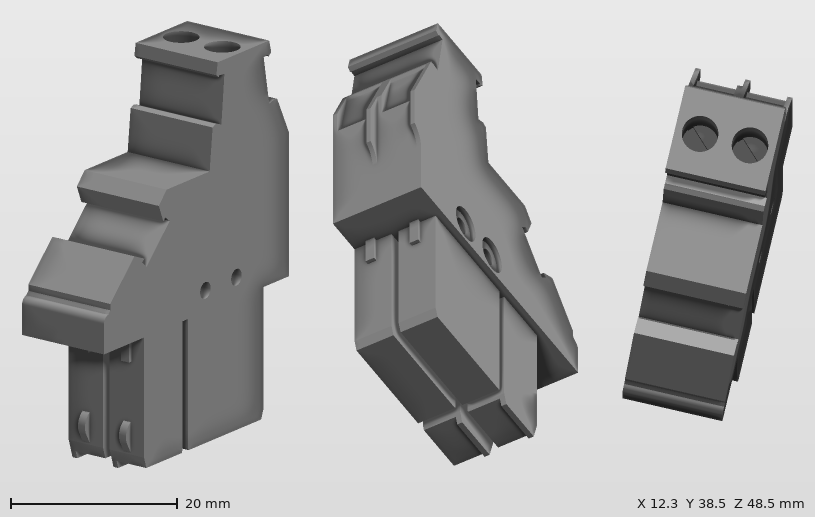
import cadquery as cq
import math


WIDTH = 12.3
LENGTH = 38.45
HEIGHT = 48.48
TOP_Z = 30.88
POLES = 2
PITCH = WIDTH / POLES

LOWER_BACK_Y = 36.95
BACK_PLATE_THICKNESS = 0.6
BACK_SLOPE_START_Z = 15.1
BACK_CREST_Y = 34.6
BACK_CREST_Z = 23.08
BACK_STEP_TOP_Z = 9.55
BACK_STEP_BOTTOM_Z = 7.0

POCKET_WIDTH = 4.95
POCKET_INNER_Y = 34.75
POCKET_BEND_Y = 36.25
POCKET_BEND_Z = 15.6
POCKET_WALL_ANGLE = 77
POCKET_FLOOR_ANGLE = 25

SCREW_DIAMETER = 4.4
SCREW_Y = 27.72
WELL_DEPTH = 6.0
SCREW_SLOT_WIDTH = 0.75
SCREW_SLOT_DEPTH = 0.6
SCREW_SLOT_ANGLE = -45

TEST_HOLE_DIAMETER = 2.1
RECESS_DIAMETER = 4.6
RECESS_DEPTH = 0.6
RECESS_PAD_DIAMETER = 4.1
RECESS_GROOVE_DEPTH = 0.2
TEST_HOLE_Z = 2.68
TEST_HOLE_YS = (20.25, 26.45)

BLADE_START_X = 1.0
BLADE_GAP = 1.0
BLADE_BOTTOM_Z = -16.63
TONGUE_BOTTOM_Z = TOP_Z - HEIGHT
TONGUE_THICKNESS = 0.7
REAR_BLADE_Y = (16.8, 31.85)
FRONT_BLADE_Y = (8.0, 15.7)
REAR_BLADE_FRONT_TAPER = (0.1, 0.2)
REAR_BLADE_BACK_TAPER = (0.45, 1.2)
FRONT_BLADE_FRONT_TAPER = (0.75, 2.4)
FRONT_BLADE_BACK_TAPER = (0.5, 1.4)

RIB_OFFSET_X = 3.1
RIB_WIDTH = 1.2
RIB_PROJECTION = 0.55
RIB_HEIGHT = 3.4
BUMP_WIDTH = 1.05
BUMP_PROJECTION = 0.95
BUMP_TOP_Z = -11.1
BUMP_NOSE_Z = -12.7
LEAD_IN_PROJECTION = 0.6
LEAD_IN_TOP_Z = -13.9
LEAD_IN_BOTTOM_Z = -15.0


def extrude_x(profile, start_x, width):
    """Extrude a closed Y-Z profile from start_x toward +X."""
    return profile.extrude(width).translate((start_x, 0, 0))


def box(x_range, y_range, z_range):
    """Box spanning the given coordinate ranges."""
    size = [high - low for low, high in (x_range, y_range, z_range)]
    return cq.Workplane("XY").box(*size, centered=False).translate((x_range[0], y_range[0], z_range[0]))


def housing_body():
    profile = (
        cq.Workplane("YZ")
        .moveTo(0, 0)
        .lineTo(LOWER_BACK_Y, 0)
        .lineTo(LOWER_BACK_Y, BACK_STEP_BOTTOM_Z)
        .threePointArc((37.4, 8.4), (LENGTH, BACK_STEP_TOP_Z))
        .lineTo(LENGTH, BACK_SLOPE_START_Z)
        .lineTo(BACK_CREST_Y, BACK_CREST_Z)
        .lineTo(34.05, 23.13)
        .lineTo(33.0, 22.9)
        .lineTo(31.9, 29.05)
        .lineTo(32.75, 29.15)
        .lineTo(32.9, 28.9)
        .lineTo(33.42, 29.3)
        .lineTo(33.0, TOP_Z)
        .lineTo(22.7, TOP_Z)
        .lineTo(22.45, 29.3)
        .lineTo(22.9, 28.9)
        .lineTo(23.05, 29.15)
        .lineTo(24.05, 29.05)
        .lineTo(23.45, 22.8)
        .lineTo(22.35, 23.2)
        .lineTo(21.7, 22.9)
        .lineTo(21.1, 17.5)
        .lineTo(12.5, 17.5)
        .lineTo(10.95, 15.85)
        .lineTo(11.85, 13.65)
        .lineTo(12.25, 14.05)
        .lineTo(13.12, 13.38)
        .lineTo(8.5, 8.8)
        .lineTo(7.6, 9.6)
        .lineTo(8.1, 9.95)
        .lineTo(6.05, 10.8)
        .lineTo(1.25, 6.05)
        .lineTo(1.25, 5.25)
        .lineTo(0.85, 4.8)
        .threePointArc((0.295, 4.515), (0, 3.8))
        .close()
    )
    return extrude_x(profile, 0, WIDTH)


def back_recess(pole_x):
    """Space beside the back plate of one pole, behind the lower back face."""
    start = pole_x + BACK_PLATE_THICKNESS
    return box((start, pole_x + PITCH), (LOWER_BACK_Y, LENGTH), (0, TOP_Z))


def wire_pocket(pole_x):
    """Wire-entry pocket with a steep inner wall and a sloping floor."""
    wall_rise = (POCKET_BEND_Y - POCKET_INNER_Y) * math.tan(math.radians(POCKET_WALL_ANGLE))
    floor_drop = (LENGTH - POCKET_BEND_Y) * math.tan(math.radians(POCKET_FLOOR_ANGLE))
    profile = cq.Workplane("YZ").polyline([
        (POCKET_INNER_Y, TOP_Z),
        (POCKET_INNER_Y, POCKET_BEND_Z + wall_rise),
        (POCKET_BEND_Y, POCKET_BEND_Z),
        (LENGTH, POCKET_BEND_Z - floor_drop),
        (LENGTH, TOP_Z),
    ]).close()
    return extrude_x(profile, pole_x + BACK_PLATE_THICKNESS, POCKET_WIDTH)


def screw_well(pole_x):
    """Round well above one clamping screw, with the screw slot in its floor."""
    centre = (pole_x + PITCH / 2, SCREW_Y, TOP_Z - WELL_DEPTH)
    radius = SCREW_DIAMETER / 2
    well = cq.Workplane("XY").circle(radius).extrude(WELL_DEPTH)
    slot = cq.Workplane("XY").rect(SCREW_DIAMETER, SCREW_SLOT_WIDTH).extrude(-SCREW_SLOT_DEPTH)
    slot = slot.rotate((0, 0, 0), (0, 0, 1), SCREW_SLOT_ANGLE)
    head = cq.Workplane("XY").circle(radius).extrude(-SCREW_SLOT_DEPTH)
    return well.union(slot.intersect(head)).translate(centre)


def test_hole(y):
    """Through hole along X; its recess at the X = 0 side has a groove around a round pad."""
    hole = cq.Workplane("YZ").circle(TEST_HOLE_DIAMETER / 2).extrude(WIDTH)
    recess = cq.Workplane("YZ").circle(RECESS_DIAMETER / 2).extrude(RECESS_DEPTH)
    groove = (
        cq.Workplane("YZ")
        .circle(RECESS_DIAMETER / 2)
        .circle(RECESS_PAD_DIAMETER / 2)
        .extrude(RECESS_DEPTH + RECESS_GROOVE_DEPTH)
    )
    return hole.union(recess).union(groove).translate((0, y, TEST_HOLE_Z))


def tapered_blade(x, width, y_range, bottom_z, front_taper, back_taper):
    """Upright blade; each taper is the (run along Y, rise along Z) of a lower corner."""
    front_y, back_y = y_range
    profile = cq.Workplane("YZ").polyline([
        (front_y, 0),
        (back_y, 0),
        (back_y, bottom_z + back_taper[1]),
        (back_y - back_taper[0], bottom_z),
        (front_y + front_taper[0], bottom_z),
        (front_y, bottom_z + front_taper[1]),
    ]).close()
    return extrude_x(profile, x, width)


def rear_blade(x, width):
    return tapered_blade(
        x, width, REAR_BLADE_Y, BLADE_BOTTOM_Z, REAR_BLADE_FRONT_TAPER, REAR_BLADE_BACK_TAPER
    )


def front_blade(x, width):
    """Front blade whose -X side runs on into a thin, longer tongue."""
    blade = tapered_blade(
        x, width, FRONT_BLADE_Y, TONGUE_BOTTOM_Z, FRONT_BLADE_FRONT_TAPER, FRONT_BLADE_BACK_TAPER
    )
    shortening = box(
        (x + TONGUE_THICKNESS, x + width), FRONT_BLADE_Y, (TONGUE_BOTTOM_Z, BLADE_BOTTOM_Z)
    )
    return blade.cut(shortening)


def keying_rib(x):
    """Bar standing proud of both outer blade edges, just under the housing."""
    front_y = FRONT_BLADE_Y[0]
    back_y = REAR_BLADE_Y[1]
    z_range = (-RIB_HEIGHT, 0)
    front = box((x, x + RIB_WIDTH), (front_y - RIB_PROJECTION, front_y), z_range)
    back = box((x, x + RIB_WIDTH), (back_y, back_y + RIB_PROJECTION), z_range)
    return front.union(back)


def latch_bump(x):
    """Snap bump on the front blade edge: rounded nose with a straight lead-in below."""
    front_y = FRONT_BLADE_Y[0]
    profile = (
        cq.Workplane("YZ")
        .moveTo(front_y, BUMP_TOP_Z)
        .threePointArc(
            (front_y - BUMP_PROJECTION, BUMP_NOSE_Z), (front_y - LEAD_IN_PROJECTION, LEAD_IN_TOP_Z)
        )
        .lineTo(front_y, LEAD_IN_BOTTOM_Z)
        .close()
    )
    return extrude_x(profile, x, BUMP_WIDTH)


def connector():
    body = housing_body()
    for pole in range(POLES):
        pole_x = pole * PITCH
        blade_x = pole_x + BLADE_START_X
        blade_width = PITCH - BLADE_GAP
        body = body.cut(back_recess(pole_x)).cut(wire_pocket(pole_x)).cut(screw_well(pole_x))
        body = body.union(rear_blade(blade_x, blade_width)).union(front_blade(blade_x, blade_width))
        body = body.union(keying_rib(pole_x + RIB_OFFSET_X)).union(latch_bump(pole_x + RIB_OFFSET_X))
    for y in TEST_HOLE_YS:
        body = body.cut(test_hole(y))
    return body


result = connector()